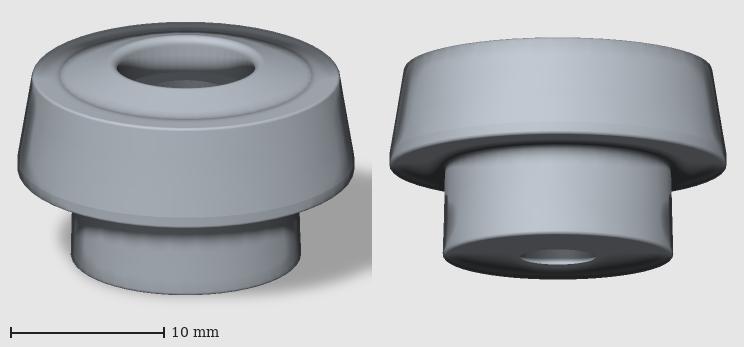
import cadquery as cq
import math

total_height = 13.49
flange_bottom = 5.96
band_top = 6.75
shoulder_height = 12.58
pocket_floor = 11.1

flange_radius = 22 / 2
shoulder_radius = 10.03
crown_base_radius = 8.25
spigot_bottom_radius = 7.52
spigot_top_radius = 7.37

bore_radius = 4.9 / 2
countersink_radius = 2.97
countersink_depth = countersink_radius - bore_radius
pocket_radius = 9.0 / 2

edge_fillet = 0.2
rim_fillet = 0.48

rim_center_radius = pocket_radius + rim_fillet
rim_center_height = total_height - rim_fillet
crown_run = crown_base_radius - rim_center_radius
crown_rise = rim_center_height - shoulder_height
crown_angle = math.atan2(crown_rise, crown_run) + math.asin(rim_fillet / math.hypot(crown_run, crown_rise))
rim_outer_radius = rim_center_radius + rim_fillet * math.sin(crown_angle)
rim_outer_height = rim_center_height + rim_fillet * math.cos(crown_angle)


def make_body():
    """Revolve the half section, with the bore, about the Z axis."""
    profile = (
        cq.Workplane("XZ")
        .moveTo(bore_radius, 0)
        .lineTo(spigot_bottom_radius, 0)
        .lineTo(spigot_top_radius, flange_bottom)
        .lineTo(flange_radius, flange_bottom)
        .lineTo(flange_radius, band_top)
        .lineTo(shoulder_radius, shoulder_height)
        .lineTo(crown_base_radius, shoulder_height)
        .lineTo(rim_outer_radius, rim_outer_height)
        .threePointArc((rim_center_radius, total_height), (pocket_radius, rim_center_height))
        .lineTo(pocket_radius, pocket_floor)
        .lineTo(countersink_radius, pocket_floor)
        .lineTo(bore_radius, pocket_floor - countersink_depth)
        .close()
    )
    return profile.revolve(360, (0, 0, 0), (0, 1, 0))


def circle_edges(body, radius, height):
    """Return the full circles with this radius and height."""
    tolerance = 0.002
    return body.edges("%CIRCLE").filter(
        lambda edge: abs(edge.radius() - radius) < tolerance
        and abs(edge.Center().z - height) < tolerance
    )


body = make_body()
rounded_circles = [
    (spigot_bottom_radius, 0),
    (spigot_top_radius, flange_bottom),
    (flange_radius, flange_bottom),
    (shoulder_radius, shoulder_height),
]
for radius, height in rounded_circles:
    body = circle_edges(body, radius, height).fillet(edge_fillet)

result = body